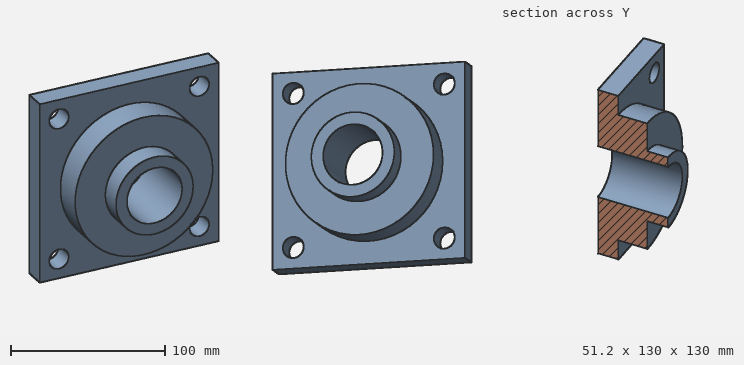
import cadquery as cq

plate_side = 130.0
plate_thickness = 15.0

flange_diameter = 100.0
flange_length = 21.0
hub_diameter = 56.0
overall_length = 51.2
hub_length = overall_length - plate_thickness - flange_length

bore_diameter = 40.0
bolt_hole_diameter = 14.0
bolt_spacing = 102.0


def make_plate():
    """Square plate with its outer face at X = 0."""
    return cq.Workplane("YZ").rect(plate_side, plate_side).extrude(plate_thickness)


def make_cylinder(diameter, start_x, length):
    """Cylinder along +X, centred on the part axis."""
    return cq.Workplane("YZ", origin=(start_x, 0, 0)).circle(diameter / 2).extrude(length)


def make_bolt_holes():
    """Four cutters at the corners of a square pattern."""
    return (
        cq.Workplane("YZ")
        .rect(bolt_spacing, bolt_spacing, forConstruction=True)
        .vertices()
        .circle(bolt_hole_diameter / 2)
        .extrude(plate_thickness)
    )


flange = make_cylinder(flange_diameter, plate_thickness, flange_length)
hub = make_cylinder(hub_diameter, plate_thickness + flange_length, hub_length)
bore = make_cylinder(bore_diameter, 0, overall_length)

result = make_plate().union(flange).union(hub).cut(bore).cut(make_bolt_holes())